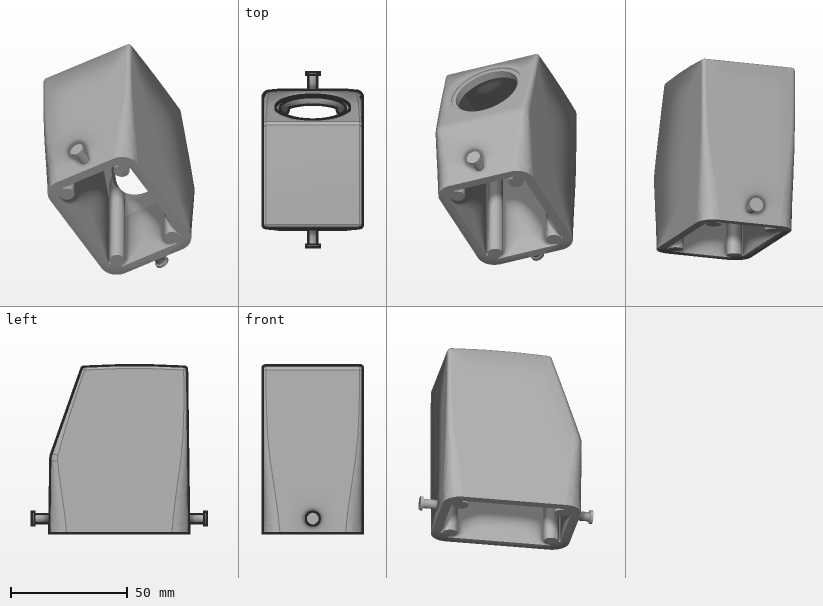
import cadquery as cq
import math

shapes = cq.occ_impl.shapes

hood_width = 43.0
hood_length = 60.0
hood_height = 72.0
half_width = hood_width / 2
half_length = hood_length / 2
wall = 4.0

draft_angle = 0.75
draft_tangent = math.tan(math.radians(draft_angle))
slope_angle = 19.5
slope_tangent = math.tan(math.radians(slope_angle))
knee_height = 32.7
knee_y = half_length - draft_tangent * knee_height
knee_radius = 10.0
crown_radius = 350.0
crown_y = -6.4
solver_steps = 10

base_corner_radius = 7.5
middle_corner_radius = 2.75
knee_corner_radius = 3.2
slope_corner_radius = 2.9
top_radius = 1.5

entry_height = 52.5
entry_diameter = 28.3
entry_depth = 12.0
seat_diameter = 32.0
seat_depth = 0.6

column_radius = 3.3
column_x = 13.5
column_y = 22.0

pin_height = 6.25
pin_span = 75.0
pin_diameter = 4.0
pin_head_diameter = 6.0
pin_head_thickness = 1.25


def crown_height(y):
    """Height of the crowned roof above the base at a given Y."""
    return hood_height - crown_radius + math.sqrt(crown_radius**2 - (y - crown_y) ** 2)


def slope_y(z):
    """Y of the sloped side at a given height."""
    return knee_y - slope_tangent * (z - knee_height)


def front_y(z):
    """Y of the drafted -Y end at a given height."""
    return draft_tangent * z - half_length


def back_y(z):
    """Y of the drafted +Y end, below the knee, at a given height."""
    return half_length - draft_tangent * z


def roof_corner(side_y):
    """Point where a side, given as Y over height, meets the crowned roof."""
    z = hood_height
    for _ in range(solver_steps):
        z = crown_height(side_y(z))
    return side_y(z), z


def round_corners(body, edge_y, edge_z, edge_radii):
    """Round both upright corners of one end, found by the edges centred nearest edge_y, edge_z.

    edge_radii lists, for each successive edge of a corner, the radii at evenly spaced places along it.
    """
    rounding = shapes.BRepFilletAPI_MakeFillet(body.val().wrapped)
    for contour, x in enumerate((-half_width, half_width), 1):
        near_corner = cq.selectors.NearestToPointSelector((x, edge_y, edge_z))
        corner = body.edges(near_corner).val()
        rounding.Add(corner.wrapped)
        for edge, radii in enumerate(edge_radii, 1):
            law = shapes.TColgp_HArray1OfPnt2d(1, len(radii))
            for index, radius in enumerate(radii):
                position = index / (len(radii) - 1)
                law.SetValue(index + 1, shapes.gp_Pnt2d(position, radius))
            rounding.SetRadius(law.Array1(), contour, edge)
    return cq.Workplane(cq.Shape.cast(rounding.Shape()))


def make_shell():
    """Solid outer form of the hood with all its roundings."""
    front_roof = roof_corner(front_y)
    profile = (
        cq.Workplane("YZ")
        .moveTo(-half_length, 0)
        .lineTo(half_length, 0)
        .lineTo(knee_y, knee_height)
        .lineTo(*roof_corner(slope_y))
        .threePointArc((crown_y, hood_height), front_roof)
        .close()
    )
    body = profile.extrude(half_width, both=True)
    knee = cq.selectors.NearestToPointSelector((0, knee_y, knee_height))
    body = body.edges(knee).fillet(knee_radius)
    front_middle = hood_height / 2
    back_middle = knee_height / 2
    front_radii = [(top_radius, middle_corner_radius, base_corner_radius)]
    back_radii = [
        (base_corner_radius, knee_corner_radius),
        (knee_corner_radius, slope_corner_radius),
        (slope_corner_radius, top_radius),
    ]
    body = round_corners(body, front_y(front_middle), front_middle, front_radii)
    body = round_corners(body, back_y(back_middle), back_middle, back_radii)
    return body.faces(">Z").edges().fillet(top_radius)


def make_cavity():
    """Open-bottomed hollow that follows the hood profile at the wall thickness."""
    slope_shift = wall / math.cos(math.radians(slope_angle))
    inner_back = half_length - wall

    def inner_slope_y(z):
        return slope_y(z) - slope_shift

    roof = hood_height - wall
    inner_knee = knee_height + (knee_y - slope_shift - inner_back) / slope_tangent
    return (
        cq.Workplane("YZ")
        .moveTo(front_y(0) + wall, 0)
        .lineTo(inner_back, 0)
        .lineTo(inner_back, inner_knee)
        .lineTo(inner_slope_y(roof), roof)
        .lineTo(front_y(roof) + wall, roof)
        .close()
        .extrude(half_width - wall, both=True)
    )


def make_columns():
    """Four full-height columns, each tied to its cavity corner, later left standing in the cavity."""
    tie_x = half_width - wall - column_x
    tie_y = half_length - wall - column_y
    columns = cq.Workplane("XY")
    for side in (-1, 1):
        for end in (-1, 1):
            spot = cq.Workplane("XY").center(side * column_x, end * column_y)
            columns = columns.union(spot.circle(column_radius).extrude(hood_height))
            tie = spot.center(side * tie_x / 2, end * tie_y / 2).rect(tie_x, tie_y)
            columns = columns.union(tie.extrude(hood_height))
    return columns


def make_entry():
    """Stepped bore through the slope, on an axis square to it."""
    tilt = math.radians(slope_angle)
    face = cq.Plane(
        origin=(0, slope_y(entry_height), entry_height),
        xDir=(1, 0, 0),
        normal=(0, -math.cos(tilt), -math.sin(tilt)),
    )
    bore = cq.Workplane(face).circle(entry_diameter / 2).extrude(entry_depth)
    seat = cq.Workplane(face).circle(seat_diameter / 2).extrude(seat_depth)
    return bore.union(seat)


def make_pin(end):
    """Headed pin standing on the -Y (end = -1) or +Y (end = 1) wall."""
    root = half_length - wall / 2
    base = cq.Plane(origin=(0, end * root, pin_height), xDir=(1, 0, 0), normal=(0, end, 0))
    length = pin_span / 2 - root
    shank = cq.Workplane(base).circle(pin_diameter / 2).extrude(length)
    head = (
        cq.Workplane(base)
        .workplane(offset=length - pin_head_thickness)
        .circle(pin_head_diameter / 2)
        .extrude(pin_head_thickness)
    )
    return shank.union(head)


cavity = make_cavity().cut(make_columns())
hood = make_shell().cut(cavity).cut(make_entry())
result = hood.union(make_pin(-1)).union(make_pin(1))